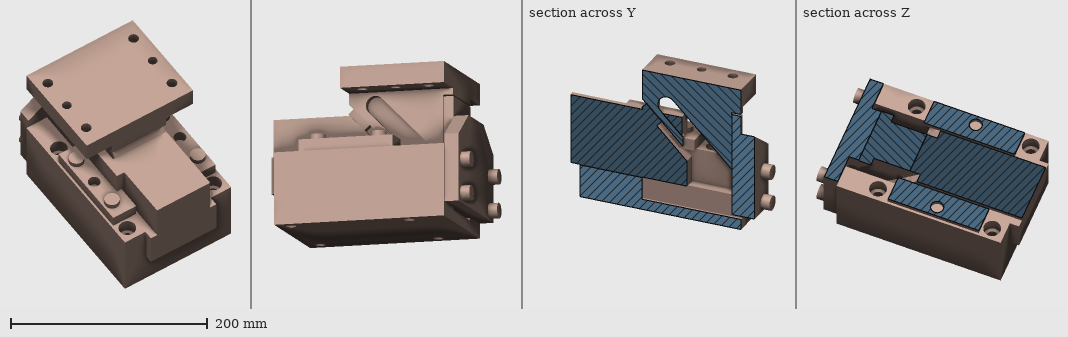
import cadquery as cq
import math


BASE_LENGTH = 180.0
BASE_WIDTH = 130.0
BASE_HEIGHT = 75.0
CHANNEL_WIDTH = 80.0
CHANNEL_FLOOR = 37.0
RELIEF_WIDTH = 59.3
RELIEF_FLOOR = 12.0

SCREW_Y = 52.5
MOUNT_HOLE_X = (40.5, 165.5)
MOUNT_HOLE_DIAMETER = 11.0
COUNTERBORE_DIAMETER = 18.0
COUNTERBORE_DEPTH = 15.0

HEAD_DIAMETER = 16.0

CAP_THICKNESS = 15.0
CAP_BOTTOM = 15.0
CAP_SHOULDER = 85.0
CAP_TOP = 110.0
CAP_WIDTH = 125.1
CAP_TOP_WIDTH = 54.2
CAP_HEAD_HEIGHT = 9.9
CAP_HEAD_Y = 49.9
CAP_HEAD_Z = (25.0, 60.0)

GUIDE_THICKNESS = 10.5
GUIDE_WIDTH = 62.1
GUIDE_TOP = 130.0

GIB_START = 55.0
GIB_LENGTH = 100.0
GIB_INNER_Y = 34.6
GIB_OUTER_Y = CAP_WIDTH / 2
GIB_THICKNESS = 12.5
GIB_TOP = BASE_HEIGHT + GIB_THICKNESS
GIB_MIDDLE = GIB_START + GIB_LENGTH / 2
GIB_HOLE_DIAMETER = 13.0
GIB_HEAD_SPACING = 65.0
GIB_HEAD_HEIGHT = 5.5

TABLE_LENGTH = 110.0
TABLE_TOP = 160.0
TABLE_THICKNESS = 22.0
PLATE_BOTTOM = TABLE_TOP - TABLE_THICKNESS
WEB_WIDTH = 63.6
NECK_WIDTH = 46.9
WEB_NOTCH_Z = 131.5
UNDERSIDE_OFFSET = -16.3
LIP_START = 65.0
GROOVE_RADIUS = 9.9
GROOVE_END_X = 82.5
GROOVE_END_Z = 124.5
TABLE_HOLE_X = (20.2, 55.0, 90.3)
TABLE_HOLE_DIAMETERS = (11.0, 9.9, 11.0)

GROOVE_HALF_SPAN = GROOVE_RADIUS * math.sqrt(2)
GROOVE_UPPER_OFFSET = GROOVE_END_X - GROOVE_END_Z - GROOVE_HALF_SPAN
GROOVE_LOWER_OFFSET = GROOVE_END_X - GROOVE_END_Z + GROOVE_HALF_SPAN

WEDGE_START = 60.2
WEDGE_OVERHANG = 10.0
WEDGE_END = BASE_LENGTH + WEDGE_OVERHANG
WEDGE_TOP = 115.0
WEDGE_WIDTH = 65.0
WEDGE_OFFSET = -5.5
PAD_WIDTH = 62.1
PAD_START_SUM = 193.5
PAD_END_SUM = 228.0
BRACKET_START = 66.0
BRACKET_END = 130.0
BRACKET_BOTTOM = 90.0
BRACKET_OUTER_Y = 41.5
KEY_INNER_Y = 26.9


def block(x0, x1, y0, y1, z0, z1):
    """Box between two corners."""
    return cq.Workplane("XY").box(x1 - x0, y1 - y0, z1 - z0, centered=False).translate((x0, y0, z0))


def centred_prism(points, width):
    """XZ outline extruded symmetrically about Y = 0."""
    return cq.Workplane("XZ").polyline(points).close().extrude(width / 2, both=True)


def upright_cylinder(x, y, z, diameter, height):
    """Vertical cylinder standing on height z."""
    return cq.Workplane("XY").center(x, y).circle(diameter / 2).extrude(height).translate((0, 0, z))


def on_slope(offset, total):
    """XZ point on the 45 degree line X - Z = offset where X + Z = total."""
    return ((total + offset) / 2, (total - offset) / 2)


def make_base_block():
    """Block with the wedge channel, the relief under it and the mounting holes."""
    half = BASE_WIDTH / 2
    body = block(0, BASE_LENGTH, -half, half, 0, BASE_HEIGHT)
    body = body.cut(block(0, BASE_LENGTH, -CHANNEL_WIDTH / 2, CHANNEL_WIDTH / 2, CHANNEL_FLOOR, BASE_HEIGHT))
    body = body.cut(block(0, TABLE_LENGTH, -RELIEF_WIDTH / 2, RELIEF_WIDTH / 2, RELIEF_FLOOR, CHANNEL_FLOOR))
    for x in MOUNT_HOLE_X:
        for y in (-SCREW_Y, SCREW_Y):
            body = body.cut(upright_cylinder(x, y, 0, MOUNT_HOLE_DIAMETER, BASE_HEIGHT))
            counterbore_floor = BASE_HEIGHT - COUNTERBORE_DEPTH
            body = body.cut(upright_cylinder(x, y, counterbore_floor, COUNTERBORE_DIAMETER, COUNTERBORE_DEPTH))
    return body


def make_cap():
    """End cap with sloping shoulders, its four screw heads and the guide plate behind it."""
    half = CAP_WIDTH / 2
    top_half = CAP_TOP_WIDTH / 2
    outline = [
        (-half, CAP_BOTTOM),
        (half, CAP_BOTTOM),
        (half, CAP_SHOULDER),
        (top_half, CAP_TOP),
        (-top_half, CAP_TOP),
        (-half, CAP_SHOULDER),
    ]
    cap = cq.Workplane("YZ").polyline(outline).close().extrude(-CAP_THICKNESS)
    head_places = [(y, z) for y in (-CAP_HEAD_Y, CAP_HEAD_Y) for z in CAP_HEAD_Z]
    heads = cq.Workplane("YZ", origin=(-CAP_THICKNESS, 0, 0)).pushPoints(head_places)
    heads = heads.circle(HEAD_DIAMETER / 2).extrude(-CAP_HEAD_HEIGHT)
    guide = block(0, GUIDE_THICKNESS, -GUIDE_WIDTH / 2, GUIDE_WIDTH / 2, CAP_BOTTOM, GUIDE_TOP)
    return cap.union(heads).union(guide)


def make_gib(side):
    """Strip that holds down the wedge flange on one side (-1 or 1), with two screw heads."""
    y0, y1 = sorted((side * GIB_INNER_Y, side * GIB_OUTER_Y))
    gib = block(GIB_START, GIB_START + GIB_LENGTH, y0, y1, BASE_HEIGHT, GIB_TOP)
    gib = gib.cut(upright_cylinder(GIB_MIDDLE, side * SCREW_Y, BASE_HEIGHT, GIB_HOLE_DIAMETER, GIB_THICKNESS))
    for x in (GIB_MIDDLE - GIB_HEAD_SPACING / 2, GIB_MIDDLE + GIB_HEAD_SPACING / 2):
        gib = gib.union(upright_cylinder(x, side * SCREW_Y, GIB_TOP, HEAD_DIAMETER, GIB_HEAD_HEIGHT))
    return gib


def make_base():
    base = make_base_block().union(make_cap())
    for side in (-1, 1):
        base = base.union(make_gib(side))
    return base


def make_side_groove(side):
    """Cutter for the 45 degree groove in one side of the web, open below where the lip stops."""
    lower_x = CHANNEL_FLOOR + GROOVE_UPPER_OFFSET
    step = GROOVE_RADIUS / math.sqrt(2)
    neck_half = NECK_WIDTH / 2
    depth = (WEB_WIDTH - NECK_WIDTH) / 2
    start_y = max(side * neck_half, side * WEB_WIDTH / 2)
    plane = cq.Workplane("XZ", origin=(0, start_y, 0))
    groove = (
        plane.moveTo(lower_x, CHANNEL_FLOOR)
        .lineTo(GROOVE_END_X - step, GROOVE_END_Z + step)
        .threePointArc(
            (GROOVE_END_X + step, GROOVE_END_Z + step),
            (GROOVE_END_X + step, GROOVE_END_Z - step),
        )
        .lineTo(CHANNEL_FLOOR + GROOVE_LOWER_OFFSET, CHANNEL_FLOOR)
        .close()
        .extrude(depth)
    )
    missing_lip = [
        (lower_x, CHANNEL_FLOOR),
        (LIP_START, LIP_START - GROOVE_UPPER_OFFSET),
        (LIP_START, CHANNEL_FLOOR),
    ]
    return groove.union(plane.polyline(missing_lip).close().extrude(depth))


def make_table():
    """Top plate on a web with a sloping underside and a groove in each side."""
    half = BASE_WIDTH / 2
    plate = block(0, TABLE_LENGTH, -half, half, PLATE_BOTTOM, TABLE_TOP)
    for x, diameter in zip(TABLE_HOLE_X, TABLE_HOLE_DIAMETERS):
        for y in (-SCREW_Y, SCREW_Y):
            plate = plate.cut(upright_cylinder(x, y, PLATE_BOTTOM, diameter, TABLE_THICKNESS))
    web = centred_prism(
        [
            (0, PLATE_BOTTOM),
            (TABLE_LENGTH, PLATE_BOTTOM),
            (TABLE_LENGTH, TABLE_LENGTH - UNDERSIDE_OFFSET),
            (CHANNEL_FLOOR + UNDERSIDE_OFFSET, CHANNEL_FLOOR),
            (GUIDE_THICKNESS, CHANNEL_FLOOR),
            (GUIDE_THICKNESS, WEB_NOTCH_Z),
            (0, WEB_NOTCH_Z),
        ],
        WEB_WIDTH,
    )
    for side in (-1, 1):
        web = web.cut(make_side_groove(side))
    return plate.union(web)


def make_wedge_body():
    """Wedge with its 45 degree face and the wider flange that slides in the channel."""
    def outline(top):
        return [
            (WEDGE_START, CHANNEL_FLOOR),
            (WEDGE_END, CHANNEL_FLOOR),
            (WEDGE_END, top),
            (top + WEDGE_OFFSET, top),
            (WEDGE_START, WEDGE_START - WEDGE_OFFSET),
        ]

    return centred_prism(outline(WEDGE_TOP), WEDGE_WIDTH).union(
        centred_prism(outline(BASE_HEIGHT), CHANNEL_WIDTH)
    )


def make_rail():
    """Raised rail on the sloping face, with a wider pad at its upper end."""
    rail = centred_prism(
        [
            (CHANNEL_FLOOR + UNDERSIDE_OFFSET, CHANNEL_FLOOR),
            (CHANNEL_FLOOR + WEDGE_OFFSET, CHANNEL_FLOOR),
            on_slope(WEDGE_OFFSET, PAD_START_SUM),
            on_slope(UNDERSIDE_OFFSET, PAD_START_SUM),
        ],
        NECK_WIDTH,
    )
    pad = centred_prism(
        [
            on_slope(UNDERSIDE_OFFSET, PAD_START_SUM),
            on_slope(WEDGE_OFFSET, PAD_START_SUM),
            on_slope(WEDGE_OFFSET, PAD_END_SUM),
            on_slope(UNDERSIDE_OFFSET, PAD_END_SUM),
        ],
        PAD_WIDTH,
    )
    return rail.union(pad)


def make_bracket():
    """Side bracket on the -Y side, with a key that reaches into the table groove."""
    inner_y = WEDGE_WIDTH / 2
    bracket = block(BRACKET_START, BRACKET_END, -BRACKET_OUTER_Y, -inner_y, BRACKET_BOTTOM, WEDGE_TOP)
    key_outline = [
        (BRACKET_START, BRACKET_START - GROOVE_LOWER_OFFSET),
        (WEDGE_TOP + GROOVE_LOWER_OFFSET, WEDGE_TOP),
        (BRACKET_START, WEDGE_TOP),
    ]
    key_plane = cq.Workplane("XZ", origin=(0, -KEY_INNER_Y, 0))
    return bracket.union(key_plane.polyline(key_outline).close().extrude(inner_y - KEY_INNER_Y))


def make_wedge():
    return make_wedge_body().union(make_rail()).union(make_bracket())


base = make_base()
table = make_table()
wedge = make_wedge()

result = cq.Compound.makeCompound([body.solids().val() for body in (base, table, wedge)])